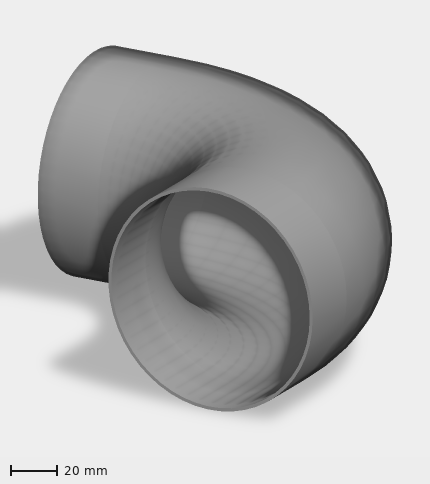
import cadquery as cq

overall_length = 182.4
outer_diameter = 101.6
inner_diameter = 98.7

bend_radius = outer_diameter
bend_angle = 90
collar_length = overall_length - bend_radius - outer_diameter / 2


def ring(workplane):
    """Draw the pipe wall section, centred on the workplane origin."""
    return workplane.circle(outer_diameter / 2).circle(inner_diameter / 2)


outlet_end = cq.Workplane("XZ", origin=(bend_radius, 0, 0))
bend = ring(outlet_end).revolve(bend_angle, (-bend_radius, 0), (-bend_radius, 1))

outlet_collar = ring(outlet_end).extrude(collar_length)
inlet_end = cq.Workplane("YZ", origin=(0, bend_radius, 0))
inlet_collar = ring(inlet_end).extrude(-collar_length)

result = bend.union(outlet_collar).union(inlet_collar)